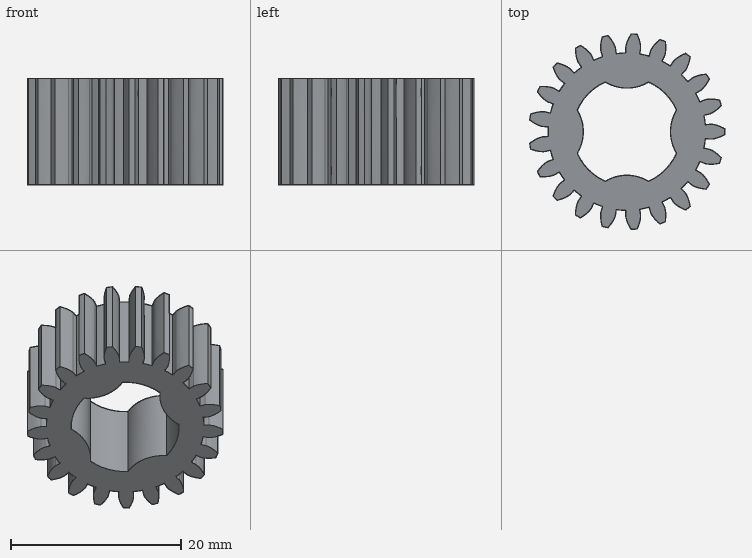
import cadquery as cq
import math

OVERALL_WIDTH = 22.98
FACE_WIDTH = 12.5
TOOTH_COUNT = 21
PRESSURE_ANGLE = math.radians(20)
ADDENDUM = 1.0
DEDENDUM = 1.25
FLANK_STEPS = 6

BORE_RADIUS = 6.35
LOBE_COUNT = 4
LOBE_RADIUS = 4.87
LOBE_TIP_DISTANCE = 5.1

TOOTH_PITCH = 2 * math.pi / TOOTH_COUNT


def involute(angle):
    return math.tan(angle) - angle


def half_tooth_angle(pressure_angle):
    """Half the angle a tooth spans where the involute has this pressure angle."""
    return TOOTH_PITCH / 4 + involute(PRESSURE_ANGLE) - involute(pressure_angle)


pitch_modules = TOOTH_COUNT / 2
tip_modules = pitch_modules + ADDENDUM
tip_pressure_angle = math.acos(pitch_modules * math.cos(PRESSURE_ANGLE) / tip_modules)

top_tooth_angle = (TOOTH_COUNT // 4) * TOOTH_PITCH
top_corner_angle = top_tooth_angle + half_tooth_angle(tip_pressure_angle)
tip_radius = OVERALL_WIDTH / 2 / math.sin(top_corner_angle)

module = tip_radius / tip_modules
base_radius = module * pitch_modules * math.cos(PRESSURE_ANGLE)
root_radius = module * (pitch_modules - DEDENDUM)


def polar(radius, angle):
    return (radius * math.cos(angle), radius * math.sin(angle))


def flank_points(center_angle, side):
    """Points from base circle to tip on one flank; side is -1 (clockwise) or 1."""
    points = []
    for step in range(FLANK_STEPS + 1):
        radius = base_radius + (tip_radius - base_radius) * (step / FLANK_STEPS) ** 2
        pressure_angle = math.acos(min(1.0, base_radius / radius))
        points.append(polar(radius, center_angle + side * half_tooth_angle(pressure_angle)))
    return points


def gear_blank():
    """Toothed body: radial flanks below the base circle, involutes above it."""
    half_root = half_tooth_angle(0)
    outline = cq.Workplane("XY").moveTo(*polar(root_radius, -half_root))
    for tooth in range(TOOTH_COUNT):
        center = tooth * TOOTH_PITCH
        rising = flank_points(center, -1)
        falling = flank_points(center, 1)[::-1]
        outline = outline.lineTo(*rising[0]).spline(rising[1:], includeCurrent=True)
        outline = outline.threePointArc(polar(tip_radius, center), falling[0])
        outline = outline.spline(falling[1:], includeCurrent=True)
        outline = outline.lineTo(*polar(root_radius, center + half_root))
        next_center = center + TOOTH_PITCH
        outline = outline.threePointArc(
            polar(root_radius, center + TOOTH_PITCH / 2),
            polar(root_radius, next_center - half_root),
        )
    return outline.close().extrude(FACE_WIDTH)


def lobed_bore():
    """Round bore with lobes of the gear body bulging into it."""
    lobe_centers = cq.Workplane("XY").polarArray(LOBE_TIP_DISTANCE + LOBE_RADIUS, 0, 360, LOBE_COUNT)
    lobes = lobe_centers.circle(LOBE_RADIUS).extrude(FACE_WIDTH)
    return cq.Workplane("XY").circle(BORE_RADIUS).extrude(FACE_WIDTH).cut(lobes)


result = gear_blank().cut(lobed_bore())